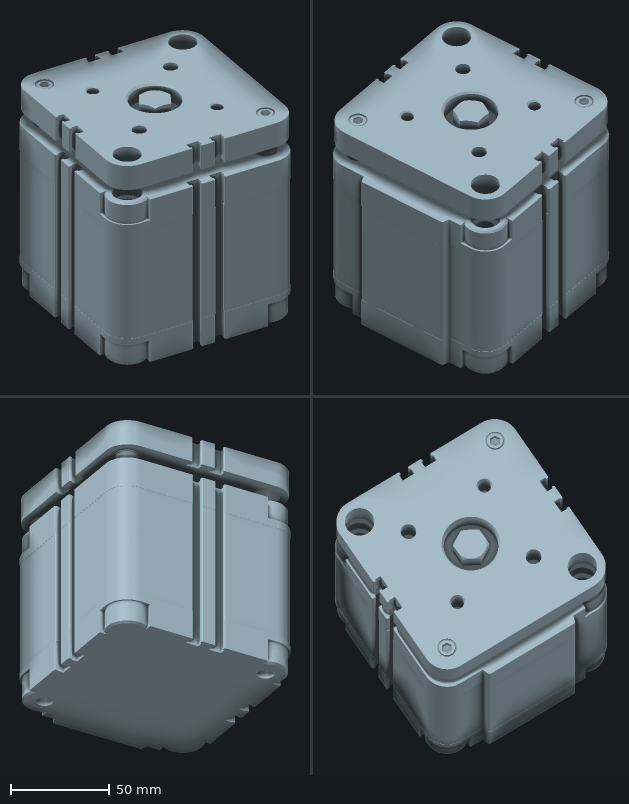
import cadquery as cq
import math

TOTAL_HEIGHT = 118.0

HOUSING_WIDTH = 107.0
HOUSING_HEIGHT = 95.8
CORNER_RADIUS = 12.5
CAP_SEAM_HEIGHTS = (16.4, 79.2)
BARREL_INSET = 0.1
HOLE_OFFSET = 41.0

RAIL_BASE_WIDTH = 54.8
RAIL_TOP_WIDTH = 52.2
RAIL_HEIGHT = 111.0 - HOUSING_WIDTH
RAIL_EDGE_RADIUS = 1.4

SLOT_OFFSET = 6.7
SLOT_MOUTH_WIDTH = 5.2
SLOT_INNER_WIDTH = 7.0
SLOT_MOUTH_CHAMFER = 0.5
SLOT_LIP = 2.0
SLOT_DEPTH = 5.4
REAR_MOUTH_WIDTH = 5.8

NOTCH_INSET = 34.8
BOSS_DIAMETER = 23.0
BOSS_CHAMFER = 1.1
LOWER_NOTCH_HEIGHT = 12.7
UPPER_NOTCH_HEIGHT = 12.2

BOLT_HOLE_DIAMETER = 8.6
BOLT_THREAD_DIAMETER = 9.8
BOLT_CHAMFER_DIAMETER = 10.9
BOLT_SEAT_DIAMETER = 15.5
BOLT_SEAT_RIM_DIAMETER = 16.5
BOLT_SEAT_DEPTH = 6.4
BOLT_THREAD_DEPTH = 17.7

ROD_DIAMETER = 20.0
ROD_FLAT_WIDTH = 17.2
ROD_FLAT_START = HOUSING_HEIGHT + 1.1
GUIDE_DIAMETER = 12.0
GUIDE_COLLAR_DIAMETER = 13.0
GUIDE_COLLAR_HEIGHT = 0.5
BORE_FLOOR = CAP_SEAM_HEIGHTS[0]
BUSH_SEAT_DIAMETER = 18.0
BUSH_SEAT_DEPTH = 0.2

PLATE_WIDTH = 106.0
PLATE_THICKNESS = 14.2
PLATE_BOTTOM = TOTAL_HEIGHT - PLATE_THICKNESS
ACCESS_HOLE_DIAMETER = 15.0
RECESS_DIAMETER = 28.0
RECESS_CHAMFER = 1.0
RECESS_DEPTH = 8.8
FIXING_OFFSET = 23.0
DOWEL_HOLE_DIAMETER = 8.0
THREAD_HOLE_DIAMETER = 6.6
THREAD_CHAMFER_DIAMETER = 8.0

HEAD_ACROSS_FLATS = 16.0
HEAD_TOP_DIAMETER = 15.8
HEAD_CHAMFER_ANGLE = 30.0

SCREW_BORE_DIAMETER = 9.8
SCREW_BORE_DEPTH = 1.0
SCREW_BASE_DIAMETER = 9.0
SCREW_TOP_DIAMETER = 8.0
SCREW_HEIGHT = 0.6
SOCKET_ACROSS_FLATS = 4.0
SOCKET_CHAMFER = 0.5
SOCKET_DEPTH = 1.2

GUIDE_CORNERS = [(-HOLE_OFFSET, -HOLE_OFFSET), (HOLE_OFFSET, HOLE_OFFSET)]
OPEN_CORNERS = [(-HOLE_OFFSET, HOLE_OFFSET), (HOLE_OFFSET, -HOLE_OFFSET)]
ALL_CORNERS = GUIDE_CORNERS + OPEN_CORNERS
THREAD_POINTS = [(-FIXING_OFFSET, -FIXING_OFFSET), (FIXING_OFFSET, FIXING_OFFSET)]
DOWEL_POINTS = [(-FIXING_OFFSET, FIXING_OFFSET), (FIXING_OFFSET, -FIXING_OFFSET)]


def cylinders(points, diameter, bottom, top):
    """Upright cylinders of one diameter between two heights."""
    base = cq.Workplane("XY", origin=(0, 0, bottom))
    return base.pushPoints(points).circle(diameter / 2).extrude(top - bottom)


def cone(point, bottom_diameter, top_diameter, bottom, top):
    """Upright truncated cone between two heights."""
    base = cq.Vector(*point, bottom)
    solid = cq.Solid.makeCone(bottom_diameter / 2, top_diameter / 2, top - bottom, base)
    return cq.Workplane(solid)


def hexagon(point, across_flats, bottom, top, turn=0.0):
    """Upright hexagonal prism; with no turn two of its flats face -Y and +Y."""
    across_corners = across_flats / math.cos(math.radians(30))
    prism = cq.Workplane("XY").polygon(6, across_corners).extrude(top - bottom)
    return prism.rotate((0, 0, 0), (0, 0, 1), turn).translate((*point, bottom))


def rounded_block(width, bottom, top):
    block = cq.Workplane("XY", origin=(0, 0, bottom)).rect(width, width).extrude(top - bottom)
    return block.edges("|Z").fillet(CORNER_RADIUS)


def slot_cutter(mouth_width, bottom, top):
    """T-slot cutter for the -Y side, centred on X = 0."""
    outside = -HOUSING_WIDTH / 2
    height = top - bottom
    inner_depth = SLOT_DEPTH - SLOT_LIP
    mouth = cq.Workplane("XY").box(mouth_width, SLOT_LIP, height, centered=(True, False, False))
    inner = cq.Workplane("XY").box(SLOT_INNER_WIDTH, inner_depth, height, centered=(True, False, False))
    return mouth.union(inner.translate((0, SLOT_LIP, 0))).translate((0, outside, bottom))


def chamfered_slot_cutter(mouth_width, body_width, bottom, top):
    """T-slot cutter whose mouth is chamfered at the -Y face of a body of the given width."""
    face = -body_width / 2
    mouth = mouth_width / 2
    flare = (
        cq.Workplane("XY", origin=(0, 0, bottom))
        .moveTo(-mouth - SLOT_MOUTH_CHAMFER, face)
        .lineTo(mouth + SLOT_MOUTH_CHAMFER, face)
        .lineTo(mouth, face + SLOT_MOUTH_CHAMFER)
        .lineTo(-mouth, face + SLOT_MOUTH_CHAMFER)
        .close()
        .extrude(top - bottom)
    )
    return slot_cutter(mouth_width, bottom, top).union(flare)


def cut_sensor_slots(body, standard, rear):
    """Cut two slots into each slotted face, with the rear cutter for the +Y slots of the side faces."""
    left_slot = standard.translate((-SLOT_OFFSET, 0, 0))
    right_slot = standard.translate((SLOT_OFFSET, 0, 0))
    body = body.cut(left_slot).cut(right_slot)
    for turn, front_slot, rear_offset in ((-90, right_slot, -SLOT_OFFSET), (90, left_slot, SLOT_OFFSET)):
        rear_slot = rear.translate((rear_offset, 0, 0))
        for slot in (front_slot, rear_slot):
            body = body.cut(slot.rotate((0, 0, 0), (0, 0, 1), turn))
    return body


def rail(inset, bottom, top):
    base = HOUSING_WIDTH / 2
    crest = base + RAIL_HEIGHT - inset
    return (
        cq.Workplane("XY", origin=(0, 0, bottom))
        .moveTo(-RAIL_BASE_WIDTH / 2, 0)
        .lineTo(-RAIL_BASE_WIDTH / 2, base)
        .lineTo(-RAIL_TOP_WIDTH / 2, crest)
        .lineTo(RAIL_TOP_WIDTH / 2, crest)
        .lineTo(RAIL_BASE_WIDTH / 2, base)
        .lineTo(RAIL_BASE_WIDTH / 2, 0)
        .close()
        .extrude(top - bottom)
        .edges("|Z and >Y")
        .fillet(RAIL_EDGE_RADIUS)
    )


def housing_section(inset, bottom, top, rear_mouth_width):
    """One length of the housing with its rail and sensor slots."""
    width = HOUSING_WIDTH - 2 * inset
    section = rounded_block(width, bottom, top).union(rail(inset, bottom, top))
    standard = chamfered_slot_cutter(SLOT_MOUTH_WIDTH, width, bottom, top)
    rear = chamfered_slot_cutter(rear_mouth_width, width, bottom, top)
    return cut_sensor_slots(section, standard, rear)


def corner_notch(point, bottom, top, chamfered):
    """Square notch at a corner around a round boss whose free end is chamfered."""
    side = HOUSING_WIDTH / 2 - NOTCH_INSET
    centre = NOTCH_INSET + side / 2
    x = math.copysign(centre, point[0])
    y = math.copysign(centre, point[1])
    notch = cq.Workplane("XY", origin=(x, y, bottom)).rect(side, side).extrude(top - bottom)
    boss = cylinders([point], BOSS_DIAMETER, bottom, top).faces(chamfered).chamfer(BOSS_CHAMFER)
    return notch.cut(boss)


def cut_bolt_holes(body):
    """Through holes at the open corners, each with a sunk seat and a threaded upper part."""
    seat_floor = HOUSING_HEIGHT - BOLT_SEAT_DEPTH
    chamfer_depth = (BOLT_CHAMFER_DIAMETER - BOLT_THREAD_DIAMETER) / 2
    rim_depth = (BOLT_SEAT_RIM_DIAMETER - BOLT_SEAT_DIAMETER) / 2
    rim_bottom = HOUSING_HEIGHT - rim_depth
    for corner in OPEN_CORNERS:
        body = body.cut(cone(corner, BOLT_SEAT_DIAMETER, BOLT_SEAT_RIM_DIAMETER, rim_bottom, HOUSING_HEIGHT))
        body = body.cut(cone(corner, BOLT_THREAD_DIAMETER, BOLT_CHAMFER_DIAMETER,
                             seat_floor - chamfer_depth, seat_floor))
    body = body.cut(cylinders(OPEN_CORNERS, BOLT_SEAT_DIAMETER, seat_floor, HOUSING_HEIGHT))
    body = body.cut(cylinders(OPEN_CORNERS, BOLT_THREAD_DIAMETER, HOUSING_HEIGHT - BOLT_THREAD_DEPTH, seat_floor))
    return body.cut(cylinders(OPEN_CORNERS, BOLT_HOLE_DIAMETER, 0, HOUSING_HEIGHT))


def make_housing():
    lower_seam, upper_seam = CAP_SEAM_HEIGHTS
    body = housing_section(BARREL_INSET, lower_seam, upper_seam, SLOT_MOUTH_WIDTH)
    body = body.union(housing_section(0, 0, lower_seam, REAR_MOUTH_WIDTH))
    body = body.union(housing_section(0, upper_seam, HOUSING_HEIGHT, REAR_MOUTH_WIDTH))
    for corner in ALL_CORNERS:
        body = body.cut(corner_notch(corner, 0, LOWER_NOTCH_HEIGHT, "<Z"))
    for corner in OPEN_CORNERS:
        body = body.cut(corner_notch(corner, HOUSING_HEIGHT - UPPER_NOTCH_HEIGHT, HOUSING_HEIGHT, ">Z"))
    body = cut_bolt_holes(body)
    body = body.cut(cylinders([(0, 0)], ROD_DIAMETER, BORE_FLOOR, HOUSING_HEIGHT))
    body = body.cut(cylinders(GUIDE_CORNERS, GUIDE_DIAMETER, BORE_FLOOR, HOUSING_HEIGHT))
    seat_bottom = HOUSING_HEIGHT - BUSH_SEAT_DEPTH
    return body.cut(cylinders(GUIDE_CORNERS, BUSH_SEAT_DIAMETER, seat_bottom, HOUSING_HEIGHT))


def piston_rod():
    """Round rod with two flats between the housing and the plate."""
    rod = cylinders([(0, 0)], ROD_DIAMETER, BORE_FLOOR, PLATE_BOTTOM)
    flatted = (
        cq.Workplane("XY", origin=(0, 0, ROD_FLAT_START))
        .rect(ROD_DIAMETER, ROD_FLAT_WIDTH)
        .extrude(PLATE_BOTTOM - ROD_FLAT_START)
    )
    lower = cylinders([(0, 0)], ROD_DIAMETER, BORE_FLOOR, ROD_FLAT_START)
    return rod.intersect(flatted.union(lower))


def hexagon_head():
    """Hexagon with its upper corners turned off conically."""
    bottom = TOTAL_HEIGHT - RECESS_DEPTH
    slope = math.tan(math.radians(HEAD_CHAMFER_ANGLE))
    cone_base_diameter = HEAD_TOP_DIAMETER + 2 * RECESS_DEPTH / slope
    envelope = cone((0, 0), cone_base_diameter, HEAD_TOP_DIAMETER, bottom, TOTAL_HEIGHT)
    return hexagon((0, 0), HEAD_ACROSS_FLATS, bottom, TOTAL_HEIGHT, 30).intersect(envelope)


def sink_socket_screw(plate, point):
    """Form a conical screw end with a hexagon socket in a shallow bore of the plate."""
    bore_floor = TOTAL_HEIGHT - SCREW_BORE_DEPTH
    screw_top = bore_floor + SCREW_HEIGHT
    plate = plate.cut(cylinders([point], SCREW_BORE_DIAMETER, bore_floor, TOTAL_HEIGHT))
    plate = plate.union(cone(point, SCREW_BASE_DIAMETER, SCREW_TOP_DIAMETER, bore_floor, screw_top))
    socket = hexagon(point, SOCKET_ACROSS_FLATS + 2 * SOCKET_CHAMFER, screw_top - SOCKET_DEPTH, screw_top)
    return plate.cut(socket.faces("<Z").chamfer(SOCKET_CHAMFER))


def make_plate_with_rods():
    plate = rounded_block(PLATE_WIDTH, PLATE_BOTTOM, TOTAL_HEIGHT)
    standard_slot = chamfered_slot_cutter(SLOT_MOUTH_WIDTH, PLATE_WIDTH, PLATE_BOTTOM, TOTAL_HEIGHT)
    rear_slot = slot_cutter(REAR_MOUTH_WIDTH, PLATE_BOTTOM, TOTAL_HEIGHT)
    plate = cut_sensor_slots(plate, standard_slot, rear_slot)
    plate = plate.cut(cylinders(OPEN_CORNERS, ACCESS_HOLE_DIAMETER, PLATE_BOTTOM, TOTAL_HEIGHT))
    plate = plate.cut(cylinders(DOWEL_POINTS, DOWEL_HOLE_DIAMETER, PLATE_BOTTOM, TOTAL_HEIGHT))
    plate = plate.cut(cylinders(THREAD_POINTS, THREAD_HOLE_DIAMETER, PLATE_BOTTOM, TOTAL_HEIGHT))
    thread_chamfer = (THREAD_CHAMFER_DIAMETER - THREAD_HOLE_DIAMETER) / 2
    for point in THREAD_POINTS:
        plate = plate.cut(cone(point, THREAD_HOLE_DIAMETER, THREAD_CHAMFER_DIAMETER,
                               TOTAL_HEIGHT - thread_chamfer, TOTAL_HEIGHT))
    plate = plate.cut(cylinders([(0, 0)], RECESS_DIAMETER, TOTAL_HEIGHT - RECESS_DEPTH, TOTAL_HEIGHT))
    plate = plate.cut(cone((0, 0), RECESS_DIAMETER, RECESS_DIAMETER + 2 * RECESS_CHAMFER,
                           TOTAL_HEIGHT - RECESS_CHAMFER, TOTAL_HEIGHT))
    plate = plate.union(hexagon_head()).union(piston_rod())
    plate = plate.union(cylinders(GUIDE_CORNERS, GUIDE_DIAMETER, BORE_FLOOR, PLATE_BOTTOM))
    plate = plate.union(cylinders(GUIDE_CORNERS, GUIDE_COLLAR_DIAMETER,
                                  PLATE_BOTTOM - GUIDE_COLLAR_HEIGHT, PLATE_BOTTOM))
    for corner in GUIDE_CORNERS:
        plate = sink_socket_screw(plate, corner)
    return plate


housing = make_housing()
plate_with_rods = make_plate_with_rods()

result = cq.Compound.makeCompound([housing.val(), plate_with_rods.val()])